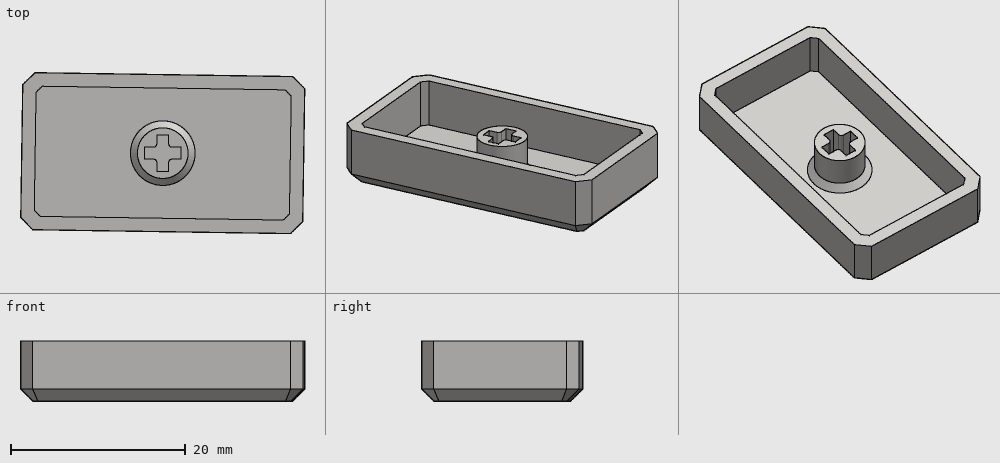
import cadquery as cq

LENGTH = 32.3
WIDTH = 18.0
HEIGHT = 6.9
OUTER_CHAMFER = 1.4
TURN_ANGLE = -0.86

WALL = 1.55
FLOOR = 1.4
CAVITY_LENGTH = LENGTH - 2 * WALL
CAVITY_WIDTH = WIDTH - 2 * WALL
CAVITY_CHAMFER = 0.7

STEM_DIAMETER = 5.8
STEM_TOP = 5.9
FOOT_SIZE = 0.8

CROSS_SPAN = 4.15
CROSS_SLOT = 1.35
CROSS_CORNER_RADIUS = 0.4
CROSS_BOTTOM = FLOOR


def make_shell():
    body = cq.Workplane("XY").box(LENGTH, WIDTH, HEIGHT, centered=(True, True, False))
    body = body.edges("|Z").chamfer(OUTER_CHAMFER)
    body = body.faces("<Z").edges().chamfer(OUTER_CHAMFER)
    cavity = (
        cq.Workplane("XY")
        .workplane(offset=FLOOR)
        .rect(CAVITY_LENGTH, CAVITY_WIDTH)
        .extrude(HEIGHT - FLOOR)
        .edges("|Z")
        .chamfer(CAVITY_CHAMFER)
    )
    return body.cut(cavity).rotate((0, 0, 0), (0, 0, 1), TURN_ANGLE)


def make_stem():
    """Stem and its 45 degree foot, revolved about Z and sunk into the floor."""
    stem_radius = STEM_DIAMETER / 2
    foot_radius = stem_radius + FOOT_SIZE
    sunk_bottom = FLOOR / 2
    return (
        cq.Workplane("XZ")
        .moveTo(0, sunk_bottom)
        .lineTo(foot_radius, sunk_bottom)
        .lineTo(foot_radius, FLOOR)
        .lineTo(stem_radius, FLOOR + FOOT_SIZE)
        .lineTo(stem_radius, STEM_TOP)
        .lineTo(0, STEM_TOP)
        .close()
        .revolve(360, (0, 0, 0), (0, 1, 0))
    )


def make_cross_socket():
    """Cross-shaped cutter with its four re-entrant corners rounded."""
    depth = STEM_TOP - CROSS_BOTTOM
    base = cq.Workplane("XY").workplane(offset=CROSS_BOTTOM)
    arm_x = base.rect(CROSS_SPAN, CROSS_SLOT).extrude(depth)
    arm_y = base.rect(CROSS_SLOT, CROSS_SPAN).extrude(depth)
    inner_corners = cq.selectors.BoxSelector(
        (-CROSS_SLOT, -CROSS_SLOT, CROSS_BOTTOM),
        (CROSS_SLOT, CROSS_SLOT, STEM_TOP),
    )
    return arm_x.union(arm_y).edges("|Z").edges(inner_corners).fillet(CROSS_CORNER_RADIUS)


result = make_shell().union(make_stem()).cut(make_cross_socket())